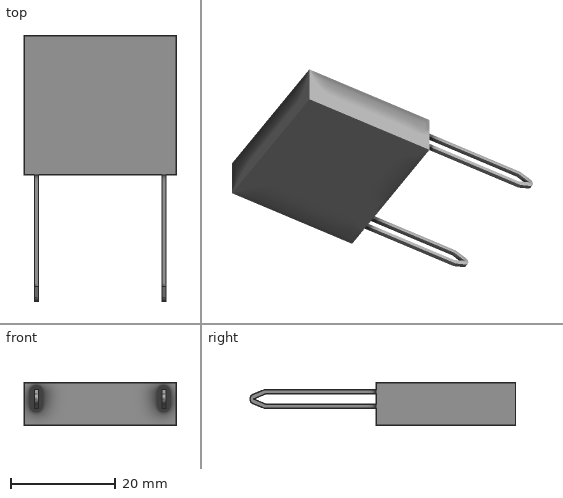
import cadquery as cq
import math

BODY_WIDTH = 29.2
BODY_DEPTH = 26.7
BODY_HEIGHT = 8.2

OVERALL_DEPTH = 50.9
PIN_LENGTH = OVERALL_DEPTH - BODY_DEPTH
PIN_SPACING = 24.4
PIN_THICKNESS = 0.8
PIN_DROP = 3.15
LOOP_HEIGHT = 3.6
TIP_RADIUS = 1.0
TAPER_ANGLE = math.radians(22)
INNER_TAPER_START = 3.1
INNER_POINT = 0.75

FRONT_Y = -BODY_DEPTH / 2
PIN_Z = BODY_HEIGHT / 2 - PIN_DROP


def make_body():
    return cq.Workplane("XY").box(BODY_WIDTH, BODY_DEPTH, BODY_HEIGHT)


def make_pin(center_x):
    """Flat pin with a tapered, round-nosed outline and a pointed opening."""
    tip_y = FRONT_Y - PIN_LENGTH
    half_outer = LOOP_HEIGHT / 2
    half_inner = half_outer - PIN_THICKNESS

    tangent_y = tip_y + TIP_RADIUS * (1 - math.sin(TAPER_ANGLE))
    tangent_z = TIP_RADIUS * math.cos(TAPER_ANGLE)
    bend_y = tangent_y + (half_outer - tangent_z) / math.tan(TAPER_ANGLE)

    side_plane = cq.Workplane("YZ", origin=(center_x - PIN_THICKNESS / 2, 0, PIN_Z))
    outline = (
        side_plane.moveTo(FRONT_Y, half_outer)
        .lineTo(bend_y, half_outer)
        .lineTo(tangent_y, tangent_z)
        .threePointArc((tip_y, 0), (tangent_y, -tangent_z))
        .lineTo(bend_y, -half_outer)
        .lineTo(FRONT_Y, -half_outer)
        .close()
        .extrude(PIN_THICKNESS)
    )
    inner_bend_y = tip_y + INNER_TAPER_START
    opening = (
        side_plane.moveTo(FRONT_Y, half_inner)
        .lineTo(inner_bend_y, half_inner)
        .lineTo(tip_y + INNER_POINT, 0)
        .lineTo(inner_bend_y, -half_inner)
        .lineTo(FRONT_Y, -half_inner)
        .close()
        .extrude(PIN_THICKNESS)
    )
    return outline.cut(opening)


result = make_body()
for side in (-1, 1):
    result = result.union(make_pin(side * PIN_SPACING / 2))